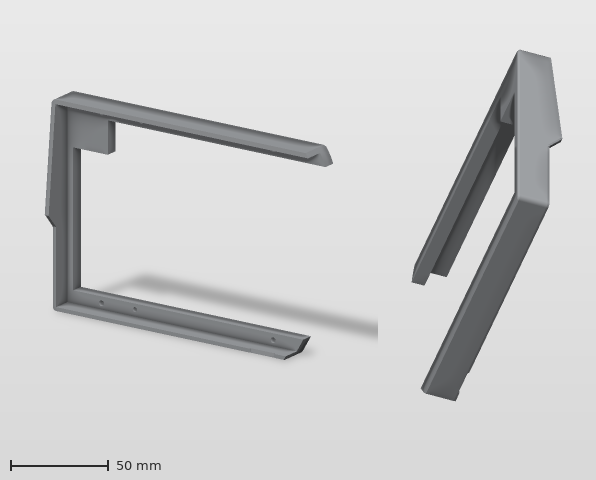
import cadquery as cq
import math

LENGTH = 162.6
HEIGHT = 114.3
WALL = 2.5
CORNER_RADIUS = 2.5

FLANGE_DEPTH = 7.0
ARM_HEIGHT = 9.5
POST_WIDTH = 6.0
GUSSET_WIDTH = 27.5
GUSSET_HEIGHT = 28.0

UPPER_END_TOP_X = 157.4
UPPER_END_SAG = 0.5
LOWER_END_TOP_X = 148.8
LOWER_END_BOTTOM_X = 143.5

UPPER_DEPTH = 17.5
BULGE_DEPTH = 23.9
LOWER_DEPTH = 17.0
BULGE_Z = 53.3
BULGE_BASE_Z = 45.5

BACK_CHAMFER = 1.0
FRONT_BEVEL_DEPTH = 1.1
FRONT_BEVEL_INSET = 0.3

TOLERANCE = 0.2

NOTCH_START_X = 122.6
NOTCH_END_X = 137.9
NOTCH_DEPTH = 1.0
NOTCH_LEAN = WALL * (BULGE_DEPTH - UPPER_DEPTH) / (HEIGHT - BULGE_Z)
NOTCH_RADIUS = 1.0

HOLE_DEPTH = 4.9
THREAD_PITCH = 0.5
MAJOR_RADIUS = 3.1 / 2
MINOR_RADIUS = 2.6 / 2
UPPER_HOLE_Z = 108.5
LOWER_HOLE_Z = 5.7
WIDE_MOUTH_HOLES = [
    (23.5, UPPER_HOLE_Z),
    (48.3, UPPER_HOLE_Z),
    (130.1, UPPER_HOLE_Z),
    (23.5, LOWER_HOLE_Z),
    (130.1, LOWER_HOLE_Z),
]
NARROW_MOUTH_HOLE = (44.4, 6.2)


def block(x_min, x_max, z_min, z_max, depth):
    """Box from the back face forward to the given depth."""
    return (
        cq.Workplane("XY", origin=(x_min, -depth, z_min))
        .box(x_max - x_min, depth, z_max - z_min, centered=False)
    )


def outer_body():
    """Solid inside the outer outline, with rounded left corners and shaped arm ends."""
    upper_tip_z = HEIGHT - ARM_HEIGHT
    chord_x = LENGTH - UPPER_END_TOP_X
    chord = math.hypot(chord_x, ARM_HEIGHT)
    arc_mid = (
        (UPPER_END_TOP_X + LENGTH) / 2 + UPPER_END_SAG * ARM_HEIGHT / chord,
        HEIGHT - ARM_HEIGHT / 2 + UPPER_END_SAG * chord_x / chord,
    )
    return (
        cq.Workplane("XZ")
        .lineTo(LOWER_END_BOTTOM_X, 0)
        .lineTo(LOWER_END_TOP_X, ARM_HEIGHT)
        .lineTo(LOWER_END_TOP_X, upper_tip_z)
        .lineTo(LENGTH, upper_tip_z)
        .threePointArc(arc_mid, (UPPER_END_TOP_X, HEIGHT))
        .lineTo(0, HEIGHT)
        .close()
        .extrude(BULGE_DEPTH)
        .edges("|Y and <X")
        .fillet(CORNER_RADIUS)
    )


def side_envelope():
    """Full-length prism that limits the depth of the walls at each height."""
    return (
        cq.Workplane("YZ")
        .polyline([
            (0, 0),
            (-LOWER_DEPTH, 0),
            (-LOWER_DEPTH, BULGE_BASE_Z),
            (-BULGE_DEPTH, BULGE_Z),
            (-UPPER_DEPTH, HEIGHT),
            (0, HEIGHT),
        ])
        .close()
        .extrude(LENGTH)
    )


def chamfer_back(body):
    """Bevel the back edges of the left, top and bottom sides, but not of the arm ends."""
    outer_sides = cq.selectors.BoxSelector(
        (-TOLERANCE, -TOLERANCE, -TOLERANCE),
        (LENGTH / 2, TOLERANCE, HEIGHT + TOLERANCE),
    )
    return body.edges(outer_sides).chamfer(BACK_CHAMFER)


def bulge_bevel():
    """Wedge that carries the front bevel up the underside of the bulge."""
    rise = BULGE_Z - BULGE_BASE_Z
    reach = BULGE_DEPTH - LOWER_DEPTH
    wedge = [
        (0, -LOWER_DEPTH),
        (FRONT_BEVEL_INSET, -LOWER_DEPTH),
        (0, -LOWER_DEPTH + FRONT_BEVEL_DEPTH),
    ]
    return (
        cq.Workplane("XY", origin=(0, 0, BULGE_BASE_Z))
        .polyline(wedge)
        .close()
        .workplane(offset=rise)
        .polyline([(x, y - reach) for x, y in wedge])
        .close()
        .loft(ruled=True)
    )


def bevel_front(body):
    """Bevel the lower front edge of the post and the lower wall, then the bulge."""
    lower_front = cq.selectors.BoxSelector(
        (-TOLERANCE, -LOWER_DEPTH - TOLERANCE, -TOLERANCE),
        (LENGTH / 2, -LOWER_DEPTH + TOLERANCE, BULGE_BASE_Z - TOLERANCE),
    )
    return (
        body.edges(lower_front)
        .chamfer(FRONT_BEVEL_DEPTH, FRONT_BEVEL_INSET)
        .cut(bulge_bevel())
    )


def notch():
    """Cutter for the notch, deepest at the top, with rounded ends."""
    floor = -LOWER_DEPTH + NOTCH_DEPTH
    return (
        cq.Workplane("YZ", origin=(NOTCH_START_X, 0, 0))
        .polyline([
            (-BULGE_DEPTH, 0),
            (floor - NOTCH_LEAN, 0),
            (floor, WALL),
            (-BULGE_DEPTH, WALL),
        ])
        .close()
        .extrude(NOTCH_END_X - NOTCH_START_X)
        .faces(">Y")
        .edges("not |X")
        .fillet(NOTCH_RADIUS)
    )


def threaded_hole(x, z, mouth_radius, second_radius):
    """Cutter for a blind hole with ring-shaped V grooves alternating between two radii."""
    half_pitches = round(2 * HOLE_DEPTH / THREAD_PITCH)
    radii = [mouth_radius, second_radius]
    flanks = [
        (radii[step % 2], step * THREAD_PITCH / 2) for step in range(half_pitches + 1)
    ]
    return (
        cq.Workplane("XY")
        .polyline([(0, 0)] + flanks + [(0, HOLE_DEPTH)])
        .close()
        .revolve(360, (0, 0, 0), (0, 1, 0))
        .translate((x, -FLANGE_DEPTH, z))
    )


body = bevel_front(chamfer_back(outer_body().intersect(side_envelope())))

pocket = block(WALL, LENGTH, WALL, HEIGHT - WALL, BULGE_DEPTH).cut(
    block(WALL, LENGTH, WALL, HEIGHT - WALL, FLANGE_DEPTH)
)
opening = block(POST_WIDTH, LENGTH, ARM_HEIGHT, HEIGHT - ARM_HEIGHT, FLANGE_DEPTH).cut(
    block(0, GUSSET_WIDTH, HEIGHT - GUSSET_HEIGHT, HEIGHT, FLANGE_DEPTH)
)

result = body.cut(pocket).cut(opening).cut(notch())
for x, z in WIDE_MOUTH_HOLES:
    result = result.cut(threaded_hole(x, z, MAJOR_RADIUS, MINOR_RADIUS))
result = result.cut(threaded_hole(*NARROW_MOUTH_HOLE, MINOR_RADIUS, MAJOR_RADIUS))